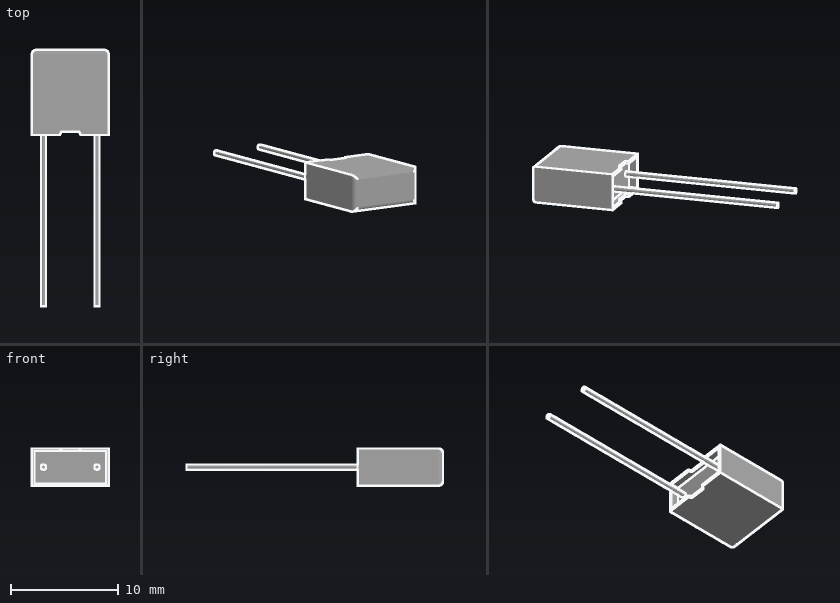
import cadquery as cq

overall_length = 24.0
case_width = 7.2
case_length = 8.0
case_height = 3.5
wall = 0.25
back_edge_radius = 0.45

notch_mouth_width = 1.95
notch_floor_width = 1.65
notch_depth = 0.3

fill_recess = 0.8

lead_diameter = 0.5
lead_spacing = 5.0

back_y = overall_length
rim_y = back_y - case_length
fill_face_y = rim_y + fill_recess
cavity_back_y = back_y - wall
cavity_width = case_width - 2 * wall
cavity_height = case_height - 2 * wall


def block(width, height, start_y, end_y):
    """Box centred on X and Z that runs from start_y to end_y."""
    length = end_y - start_y
    return cq.Workplane("XY").box(width, length, height).translate((0, start_y + length / 2, 0))


def rim_notches():
    """Tapered cutter that notches both the upper and lower walls."""
    return (
        cq.Workplane("XY")
        .moveTo(-notch_mouth_width / 2, rim_y)
        .lineTo(-notch_floor_width / 2, rim_y + notch_depth)
        .lineTo(notch_floor_width / 2, rim_y + notch_depth)
        .lineTo(notch_mouth_width / 2, rim_y)
        .close()
        .extrude(case_height, both=True)
    )


def make_case():
    outside = block(case_width, case_height, rim_y, back_y).faces(">Y").edges().fillet(back_edge_radius)
    cavity = block(cavity_width, cavity_height, rim_y, cavity_back_y)
    return outside.cut(cavity).cut(rim_notches())


def make_fill():
    """Block that fills the case cavity up to its recessed face."""
    return block(cavity_width, cavity_height, fill_face_y, cavity_back_y)


def make_lead(x):
    return cq.Workplane("XZ").center(x, 0).circle(lead_diameter / 2).extrude(-fill_face_y)


case = make_case()
fill = make_fill()
leads = [make_lead(side * lead_spacing / 2) for side in (-1, 1)]

result = cq.Compound.makeCompound([case.val(), fill.val(), *[lead.val() for lead in leads]])